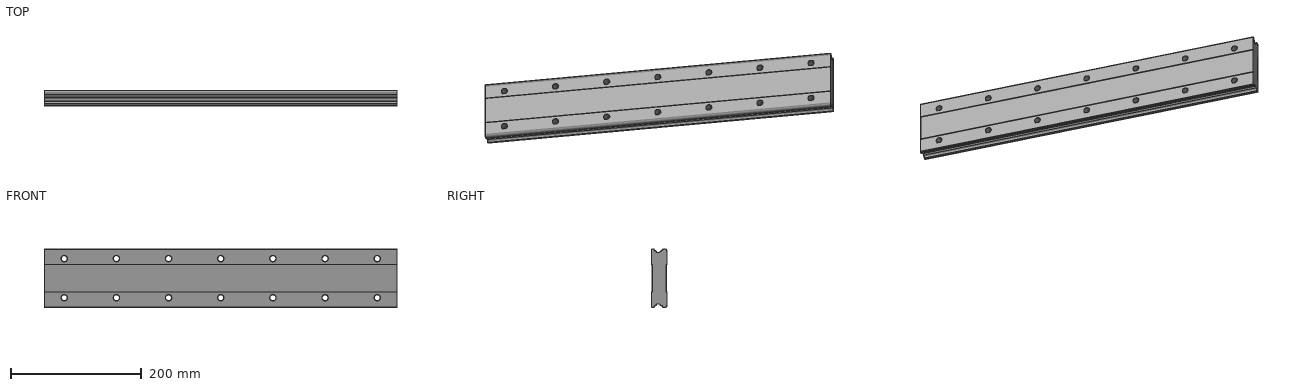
import cadquery as cq
import math

LENGTH = 540.0
THICKNESS = 24.0
HEIGHT = 90.0

RECESS_HEIGHT = 41.5
RECESS_DEPTH = 1.0

CREST_RADIUS = 4.0
GROOVE_START = 6.5
GROOVE_END = 20.0
RACEWAY_RADIUS = 3.0
RELIEF_FLOOR_START = 11.5
RELIEF_FLOOR_END = 16.0
RELIEF_FLOOR_DEPTH = 5.5
LIP_CHAMFER = 1.0

HOLE_DIAMETER = 9.0
HOLES_PER_ROW = 7
HOLE_END_INSET = 30.0
HOLE_EDGE_INSET = 15.0


def half_rail(side):
    """Half of the rail, from mid-height to the top (side = 1) or to the bottom (side = -1)."""
    back = THICKNESS / 2
    front = -back
    recess_edge = side * RECESS_HEIGHT / 2
    arc_inset = 1 - math.sqrt(0.5)

    def point(from_back, depth):
        return back - from_back, side * (HEIGHT / 2 - depth)

    crest_inset = CREST_RADIUS * arc_inset
    raceway_inset = RACEWAY_RADIUS * arc_inset
    raceway_mid_depth = RACEWAY_RADIUS - raceway_inset

    section = (
        cq.Workplane("YZ")
        .moveTo(back - RECESS_DEPTH, 0)
        .lineTo(back - RECESS_DEPTH, recess_edge)
        .lineTo(back, recess_edge)
        .lineTo(*point(0, CREST_RADIUS))
        .threePointArc(point(crest_inset, crest_inset), point(CREST_RADIUS, 0))
        .lineTo(*point(GROOVE_START, 0))
        .threePointArc(
            point(GROOVE_START + raceway_inset, raceway_mid_depth),
            point(GROOVE_START + RACEWAY_RADIUS, RACEWAY_RADIUS),
        )
        .lineTo(*point(RELIEF_FLOOR_START, RELIEF_FLOOR_DEPTH))
        .lineTo(*point(RELIEF_FLOOR_END, RELIEF_FLOOR_DEPTH))
        .lineTo(*point(GROOVE_END - RACEWAY_RADIUS, RACEWAY_RADIUS))
        .threePointArc(
            point(GROOVE_END - raceway_inset, raceway_mid_depth),
            point(GROOVE_END, 0),
        )
        .lineTo(*point(THICKNESS - LIP_CHAMFER, 0))
        .lineTo(*point(THICKNESS, LIP_CHAMFER))
        .lineTo(front, recess_edge)
        .lineTo(front + RECESS_DEPTH, recess_edge)
        .lineTo(front + RECESS_DEPTH, 0)
        .close()
    )
    return section.extrude(LENGTH / 2, both=True)


def mounting_holes():
    """Cylinders for both hole rows, long enough to pass right through the rail."""
    pitch = (LENGTH - 2 * HOLE_END_INSET) / (HOLES_PER_ROW - 1)
    row_spacing = HEIGHT - 2 * HOLE_EDGE_INSET
    return (
        cq.Workplane("XZ")
        .rarray(pitch, row_spacing, HOLES_PER_ROW, 2)
        .circle(HOLE_DIAMETER / 2)
        .extrude(THICKNESS, both=True)
    )


rail = half_rail(1).union(half_rail(-1)).clean()
result = rail.cut(mounting_holes())